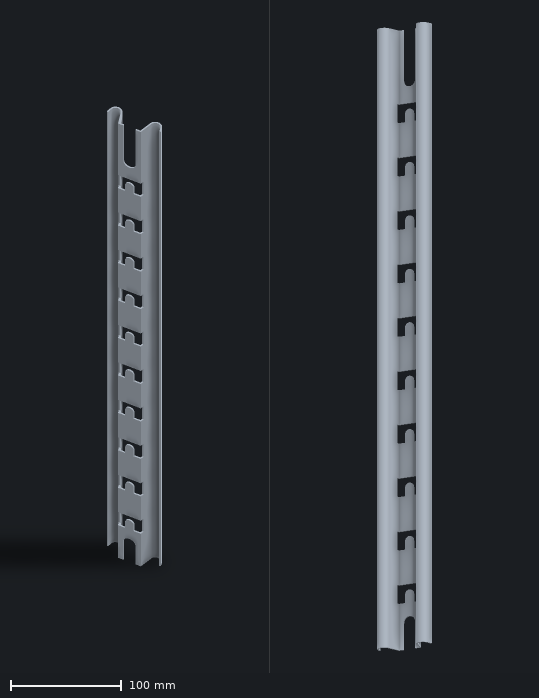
import cadquery as cq
import math

length = 580.0
width = 55.0
depth = 18.0
thickness = 1.5

arch_radius = 6.5
lip_drop = 9.0
lip_splay = math.radians(14)
web_half_width = 11.5

slot_width = 12.0
top_slot_depth = 53.5
bottom_slot_depth = 31.0

window_count = 10
window_width = 30.0
window_height = 17.5
window_depth = 3.5
first_window_height = 43.5
window_row_span = 450.0
window_pitch = window_row_span / (window_count - 1)
tongue_width = 8.5
tongue_height = 12.0

web_y = -depth / 2
web_inner_y = web_y + thickness
arch_y = depth / 2 - arch_radius
lip_y = depth / 2 - lip_drop
arch_x = width / 2 - arch_radius / math.cos(lip_splay) - (arch_y - lip_y) * math.tan(lip_splay)
bottom_z = -length / 2
top_z = length / 2


def half_rail(side):
    """Centre-to-lip half of the rail; side is -1 for left, +1 for right."""
    inner_radius = arch_radius - thickness
    run = arch_x - web_half_width
    rise = arch_y - web_y
    wall_angle = math.atan2(rise, run) + math.asin(inner_radius / math.hypot(run, rise))
    inner_fold_x = web_half_width - thickness * math.tan(wall_angle / 2)
    arch_start = wall_angle + math.pi / 2
    arch_middle = (arch_start + lip_splay) / 2
    lip_inner_x = width / 2 - thickness * math.cos(lip_splay)
    lip_inner_y = lip_y - thickness * math.sin(lip_splay)

    def on_arch(radius, angle):
        return (side * (arch_x + radius * math.cos(angle)), arch_y + radius * math.sin(angle))

    return (
        cq.Workplane("XY", origin=(0, 0, bottom_z))
        .moveTo(0, web_y)
        .lineTo(side * web_half_width, web_y)
        .lineTo(*on_arch(inner_radius, arch_start))
        .threePointArc(on_arch(inner_radius, arch_middle), on_arch(inner_radius, lip_splay))
        .lineTo(side * lip_inner_x, lip_inner_y)
        .lineTo(side * width / 2, lip_y)
        .lineTo(*on_arch(arch_radius, lip_splay))
        .threePointArc(on_arch(arch_radius, arch_middle), on_arch(arch_radius, arch_start))
        .lineTo(side * inner_fold_x, web_inner_y)
        .lineTo(0, web_inner_y)
        .close()
        .extrude(length)
    )


def through_web(sketch):
    """Extrude an XZ outline from the outer web face to the window depth."""
    return sketch.extrude(-window_depth)


def web_plane(z):
    """Work plane on the outer web face, with its origin at height z."""
    return cq.Workplane("XZ", origin=(0, web_y, z))


def round_ended_bar(z, bar_width, bar_height, direction):
    """Bar standing on height z, ending in a half circle; direction +1 is up, -1 is down."""
    radius = bar_width / 2
    straight = direction * (bar_height - radius)
    return through_web(
        web_plane(z)
        .moveTo(-radius, 0)
        .lineTo(-radius, straight)
        .threePointArc((0, direction * bar_height), (radius, straight))
        .lineTo(radius, 0)
        .close()
    )


def window(z):
    """Cutter for one window with its lower edge at height z."""
    opening = through_web(web_plane(z + window_height / 2).rect(window_width, window_height))
    tongue = round_ended_bar(z, tongue_width, tongue_height, 1)
    return opening.cut(tongue)


result = half_rail(-1).union(half_rail(1))

result = result.cut(round_ended_bar(top_z, slot_width, top_slot_depth, -1))
result = result.cut(round_ended_bar(bottom_z, slot_width, bottom_slot_depth, 1))

for index in range(window_count):
    result = result.cut(window(bottom_z + first_window_height + index * window_pitch))